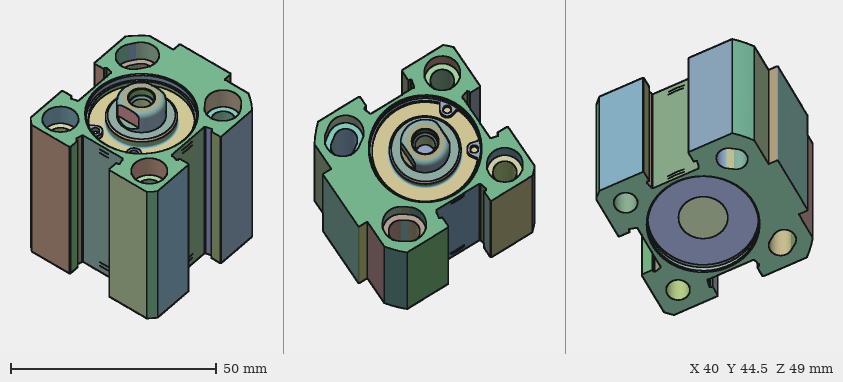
import cadquery as cq
import math


overall_height = 49.0
housing_height = 43.5
half_width = 20.0
shoulder_y = 22.0
corner_radius = 27.0
tab_width = 16.15
tab_y = 24.5
tab_corner_radius = 0.25

slot_mouth_half = 6.1
slot_mouth_chamfer = 0.2
slot_lip_depth = 3.05
slot_undercut_half = 6.85
slot_undercut_chamfer = 0.3
slot_floor_half = 6.2
slot_floor_chamfer = 0.2
slot_floor_depth = 5.3
front_slot_floor_depth = 5.2

mount_offset = 14.0
mount_hole_diameter = 5.8
mount_bore_diameter = 8.8
mount_bore_depth = 5.8
mount_slot_length = 1.85
mount_slot_angle = 55.0

bore_diameter = 27.0
bore_chamfer = 0.3
groove_diameter = 29.2
groove_depth = 1.75
groove_width = 1.22

ring_outer_diameter = 28.4
ring_inner_diameter = 25.85
ring_gap_angle = 21.0
ear_root_angle = 41.0
ear_x = 6.1
ear_y = -10.3
ear_radius = 1.75
ear_hole_diameter = 2.0

boss_diameter = 17.5
boss_top_gap = 0.5
boss_chamfer = 0.5
boss_fillet = 0.4

rod_diameter = 12.0
rod_edge_radius = 1.25
flat_spacing = 10.0
flat_length = 4.45
rod_bore_diameter = 6.25
rod_bore_chamfer = 0.2
rod_bore_depth = 2.2
thread_mouth_diameter = 6.0
thread_mouth_length = 0.7
thread_diameter = 4.9
thread_depth = 9.8

cover_top = housing_height - groove_depth - groove_width
cover_bottom = groove_depth + groove_width


def cylinder(diameter, bottom, top):
    return cq.Workplane("XY").workplane(offset=bottom).circle(diameter / 2).extrude(top - bottom)


def polar_from_front(diameter, angle):
    """Point on a circle about the axis, at an angle from -Y toward +X."""
    turn = math.radians(angle)
    return (diameter / 2 * math.sin(turn), -diameter / 2 * math.cos(turn))


def sensor_slot(floor_depth):
    """Cutter for an undercut slot in the front side, along the full height."""
    front = -half_width
    half_outline = [
        (slot_mouth_half + slot_mouth_chamfer, front),
        (slot_mouth_half, front + slot_mouth_chamfer),
        (slot_mouth_half, front + slot_lip_depth),
        (slot_undercut_half - slot_undercut_chamfer, front + slot_lip_depth),
        (slot_undercut_half, front + slot_lip_depth + slot_undercut_chamfer),
        (slot_floor_half + slot_floor_chamfer, front + floor_depth - slot_floor_chamfer),
        (slot_floor_half, front + floor_depth),
    ]
    mirrored = [(-x, y) for x, y in reversed(half_outline)]
    return cq.Workplane("XY").polyline(half_outline + mirrored).close().extrude(housing_height)


def round_mount():
    """Cutter for a counterbored screw hole centred on the origin."""
    through = cylinder(mount_hole_diameter, 0, housing_height)
    bore = cylinder(mount_bore_diameter, housing_height - mount_bore_depth, housing_height)
    return through.union(bore)


def slotted_mount(side):
    """Cutter for a counterbored oblong hole that starts at the origin and leans toward the centre plane."""
    lean = math.radians(mount_slot_angle)
    middle = (
        -side * mount_slot_length / 2 * math.cos(lean),
        mount_slot_length / 2 * math.sin(lean),
    )

    def oblong(width, bottom):
        return (
            cq.Workplane("XY")
            .workplane(offset=bottom)
            .center(*middle)
            .slot2D(mount_slot_length + width, width, -side * mount_slot_angle)
            .extrude(housing_height - bottom)
        )

    through = oblong(mount_hole_diameter, 0)
    return through.union(oblong(mount_bore_diameter, housing_height - mount_bore_depth))


def make_housing():
    depth = half_width + shoulder_y
    body = cq.Workplane("XY").box(2 * half_width, depth, housing_height, centered=(True, False, False))
    body = body.translate((0, -half_width, 0))
    body = body.cut(cylinder(bore_diameter, 0, housing_height))
    body = body.edges("%CIRCLE").chamfer(bore_chamfer)
    body = body.intersect(cylinder(2 * corner_radius, 0, housing_height))

    tab_depth = tab_y - shoulder_y
    tab = cq.Workplane("XY").box(tab_width, tab_depth, housing_height, centered=(True, False, False))
    tab = tab.edges("|Z and >Y").fillet(tab_corner_radius)
    body = body.union(tab.translate((0, shoulder_y, 0)))

    body = body.cut(sensor_slot(front_slot_floor_depth))
    for turn in (-90, 90):
        body = body.cut(sensor_slot(slot_floor_depth).rotate((0, 0, 0), (0, 0, 1), turn))

    for side in (-1, 1):
        body = body.cut(round_mount().translate((side * mount_offset, -mount_offset, 0)))
        body = body.cut(slotted_mount(side).translate((side * mount_offset, mount_offset, 0)))

    for groove_bottom in (groove_depth, cover_top):
        body = body.cut(cylinder(groove_diameter, groove_bottom, groove_bottom + groove_width))
    return body


def tangent_point(point, side):
    """Where a line from the point touches the right ear's rim, on the chosen side."""
    distance = math.hypot(point[0] - ear_x, point[1] - ear_y)
    heading = math.atan2(point[1] - ear_y, point[0] - ear_x)
    heading += side * math.acos(ear_radius / distance)
    return (ear_x + ear_radius * math.cos(heading), ear_y + ear_radius * math.sin(heading))


def ring_ear():
    """Right ear: a round eye joined to the ring by two tangent edges."""
    root = polar_from_front(ring_inner_diameter, ear_root_angle)
    gap_end = polar_from_front(ring_outer_diameter, ring_gap_angle)
    outer_root = polar_from_front(ring_outer_diameter, ear_root_angle)
    outer_middle = polar_from_front(ring_outer_diameter, (ring_gap_angle + ear_root_angle) / 2)
    web = (
        cq.Workplane("XY")
        .moveTo(ear_x, ear_y)
        .lineTo(*tangent_point(root, 1))
        .lineTo(*root)
        .lineTo(*outer_root)
        .threePointArc(outer_middle, gap_end)
        .lineTo(*tangent_point(gap_end, -1))
        .close()
        .extrude(groove_width)
    )
    return web.union(cylinder(2 * ear_radius, 0, groove_width).translate((ear_x, ear_y, 0)))


def make_retaining_ring():
    opening = [
        (0, 0),
        polar_from_front(2 * ring_outer_diameter, -ring_gap_angle),
        polar_from_front(2 * ring_outer_diameter, ring_gap_angle),
    ]
    ring = cylinder(ring_outer_diameter, 0, groove_width)
    ring = ring.cut(cylinder(ring_inner_diameter, 0, groove_width))
    ring = ring.cut(cq.Workplane("XY").polyline(opening).close().extrude(groove_width))
    ear = ring_ear()
    ring = ring.union(ear).union(ear.mirror("YZ"))
    for side in (-1, 1):
        eye = cylinder(ear_hole_diameter, 0, groove_width)
        ring = ring.cut(eye.translate((side * ear_x, ear_y, 0)))
    return ring.translate((0, 0, cover_top))


def make_rod_cover():
    """Round cover with a raised boss, revolved about the rod axis."""
    boss_top = housing_height - boss_top_gap
    rod_radius = rod_diameter / 2
    boss_radius = boss_diameter / 2
    return (
        cq.Workplane("XZ")
        .moveTo(rod_radius, cover_bottom)
        .lineTo(bore_diameter / 2, cover_bottom)
        .lineTo(bore_diameter / 2, cover_top)
        .lineTo(boss_radius + boss_fillet, cover_top)
        .tangentArcPoint((boss_radius, cover_top + boss_fillet), relative=False)
        .lineTo(boss_radius, boss_top - boss_chamfer)
        .lineTo(boss_radius - boss_chamfer, boss_top)
        .lineTo(rod_radius, boss_top)
        .close()
        .revolve(360, (0, 0), (0, 1))
    )


def wrench_flat():
    """Cutter for the +Y flat, with a 45 degree run-out at its lower end."""
    flat_y = flat_spacing / 2
    reach = rod_diameter - flat_y
    flat_bottom = overall_height - flat_length
    outline = [
        (flat_y, overall_height),
        (flat_y, flat_bottom),
        (flat_y + reach, flat_bottom - reach),
        (flat_y + reach, overall_height),
    ]
    return cq.Workplane("YZ").polyline(outline).close().extrude(rod_diameter, both=True)


def rod_end_bore():
    """Cutter for the stepped hole in the rod end: chamfer, plain bore, conical lead-in and thread core."""
    plain_radius = rod_bore_diameter / 2
    mouth_radius = thread_mouth_diameter / 2
    core_radius = thread_diameter / 2
    shelf = overall_height - rod_bore_depth
    outline = [
        (0, overall_height),
        (plain_radius + rod_bore_chamfer, overall_height),
        (plain_radius, overall_height - rod_bore_chamfer),
        (plain_radius, shelf),
        (mouth_radius, shelf),
        (core_radius, shelf - thread_mouth_length),
        (core_radius, overall_height - thread_depth),
        (0, overall_height - thread_depth),
    ]
    return cq.Workplane("XZ").polyline(outline).close().revolve(360, (0, 0), (0, 1))


def make_rod():
    rod = cylinder(rod_diameter, cover_bottom, overall_height)
    rod = rod.faces(">Z").edges().fillet(rod_edge_radius)
    flat = wrench_flat()
    rod = rod.cut(flat).cut(flat.mirror("XZ"))
    return rod.cut(rod_end_bore())


housing = make_housing()
retaining_ring = make_retaining_ring()
rod_cover = make_rod_cover()
rod = make_rod()

result = cq.Compound.makeCompound([housing.val(), retaining_ring.val(), rod_cover.val(), rod.val()])